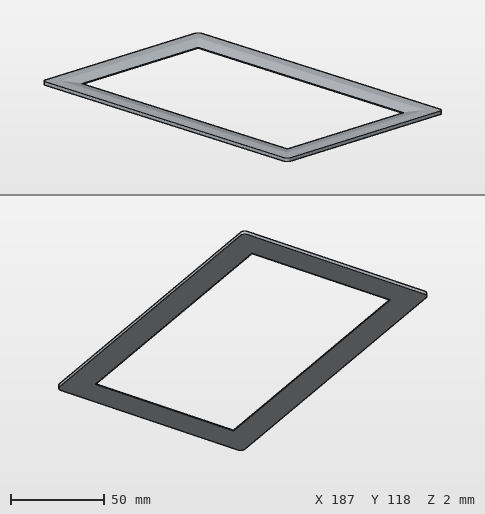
import cadquery as cq

length = 187.0
width = 118.0
thickness = 2.0
corner_radius = 2.6

rim_width = 7.1
bevel_width = 8.0
lip_height = 0.5

bevel_length = length - 2 * rim_width
bevel_span = width - 2 * rim_width
opening_length = bevel_length - 2 * bevel_width
opening_span = bevel_span - 2 * bevel_width


def make_plate():
    """Flat plate with rounded vertical corners."""
    plate = cq.Workplane("XY").box(length, width, thickness, centered=(True, True, False))
    return plate.edges("|Z").fillet(corner_radius)


def make_window():
    """Straight opening that flares out to the top face with mitred corners."""
    opening = cq.Workplane("XY").rect(opening_length, opening_span).extrude(thickness)
    flare = (
        cq.Workplane("XY", origin=(0, 0, lip_height))
        .rect(opening_length, opening_span)
        .workplane(offset=thickness - lip_height)
        .rect(bevel_length, bevel_span)
        .loft(ruled=True)
    )
    return opening.union(flare)


result = make_plate().cut(make_window())